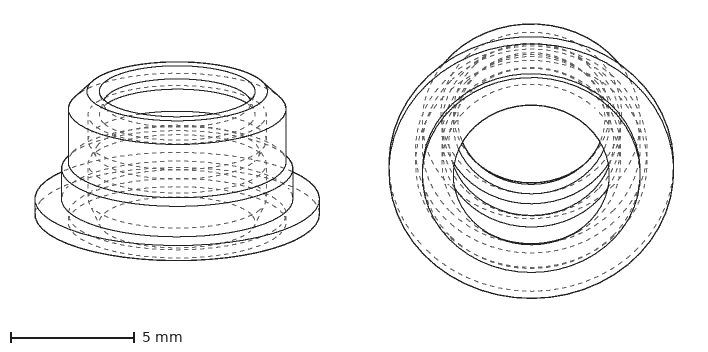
import cadquery as cq

height = 5.6

body_radius = 8.8 / 2
collar_radius = 9.35 / 2
flange_radius = 11.5 / 2
flange_bottom_z = 0.35
flange_top_z = 1.0
collar_top_z = 2.3
collar_chamfer = collar_radius - body_radius
top_chamfer = 0.75

bore_radius = 7.2 / 2
mouth_radius = 6.3 / 2
top_lip_radius = 5.95 / 2
top_lip_height = 1.0
middle_lip_radius = 6.65 / 2
middle_lip_height = 1.0
middle_lip_crest_z = 3.0
bore_bottom_z = 1.0


def outer_profile():
    """Outer (radius, z) points from the bottom face up to the top face."""
    return [
        (body_radius, 0),
        (body_radius, flange_bottom_z),
        (flange_radius, flange_bottom_z),
        (flange_radius, flange_top_z),
        (collar_radius, flange_top_z),
        (collar_radius, collar_top_z),
        (body_radius, collar_top_z + collar_chamfer),
        (body_radius, height - top_chamfer),
        (body_radius - top_chamfer, height),
    ]


def top_lip():
    """Lip at the upper mouth: tapers in to its crest, back out, then steps out to the bore."""
    underside_z = height - top_lip_height
    return [
        (mouth_radius, height),
        (top_lip_radius, height - top_lip_height / 2),
        (mouth_radius, underside_z),
        (bore_radius, underside_z),
    ]


def middle_lip():
    """V-shaped lip standing inward from the bore."""
    return [
        (bore_radius, middle_lip_crest_z + middle_lip_height / 2),
        (middle_lip_radius, middle_lip_crest_z),
        (bore_radius, middle_lip_crest_z - middle_lip_height / 2),
    ]


def bottom_taper():
    """Bore narrowing down to the lower mouth."""
    return [
        (bore_radius, bore_bottom_z),
        (mouth_radius, 0),
    ]


profile = outer_profile() + top_lip() + middle_lip() + bottom_taper()

result = cq.Workplane("XZ").polyline(profile).close().revolve(360, (0, 0, 0), (0, 1, 0))